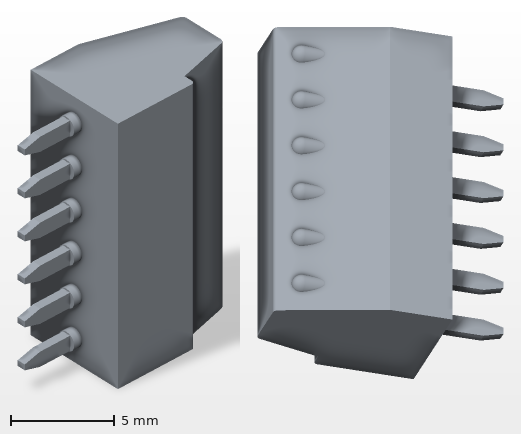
import cadquery as cq

width = 6.2
overall_depth = 12.0
depth = 8.5
height = 15.7
left_knee_y = 3.15
left_top_x = -1.37
right_top_x = 1.49
step_y = 5.09
step_width = 0.74
top_radius = 0.3
step_radius = 0.2

pole_count = 6
pitch = 2.55
first_pole_z = (height - (pole_count - 1) * pitch) / 2

pin_reach = overall_depth - depth
pin_thickness = 0.5
pin_width = 0.9
tip_width = 0.35
tip_length = 1.0
collar_diameter = 1.1
collar_length = 0.52

button_radius = 0.5
button_inset = 0.97
dome_setback = 1.3
button_x = -width / 2 + button_inset + button_radius
button_dome_y = depth - dome_setback
button_root_y = left_knee_y


def make_housing():
    half_width = width / 2
    step_x = half_width - step_width
    outline = [
        (-half_width, 0),
        (half_width, 0),
        (half_width, step_y),
        (step_x, step_y),
        (right_top_x, depth),
        (left_top_x, depth),
        (-half_width, left_knee_y),
    ]
    housing = cq.Workplane("XY").polyline(outline).close().extrude(height)
    housing = housing.faces(">Y").edges("|Z").fillet(top_radius)
    step_corner = cq.selectors.NearestToPointSelector((half_width, step_y, height / 2))
    return housing.edges(step_corner).fillet(step_radius)


def make_pin(z):
    collar = cq.Workplane("XZ", origin=(0, 0, z)).circle(collar_diameter / 2).extrude(collar_length)
    taper_y = tip_length - pin_reach
    blade_outline = [
        (0, -pin_width / 2),
        (taper_y, -pin_width / 2),
        (-pin_reach, -tip_width / 2),
        (-pin_reach, tip_width / 2),
        (taper_y, pin_width / 2),
        (0, pin_width / 2),
    ]
    blade = (
        cq.Workplane("YZ", origin=(0, 0, z))
        .polyline(blade_outline)
        .close()
        .extrude(pin_thickness / 2, both=True)
    )
    return collar.union(blade)


def make_button(z):
    shank = (
        cq.Workplane("XZ", origin=(button_x, button_root_y, z))
        .circle(button_radius)
        .extrude(button_root_y - button_dome_y)
    )
    dome = cq.Workplane("XY", origin=(button_x, button_dome_y, z)).sphere(button_radius)
    return shank.union(dome)


result = make_housing()
for pole in range(pole_count):
    pole_z = first_pole_z + pole * pitch
    result = result.union(make_pin(pole_z)).union(make_button(pole_z))